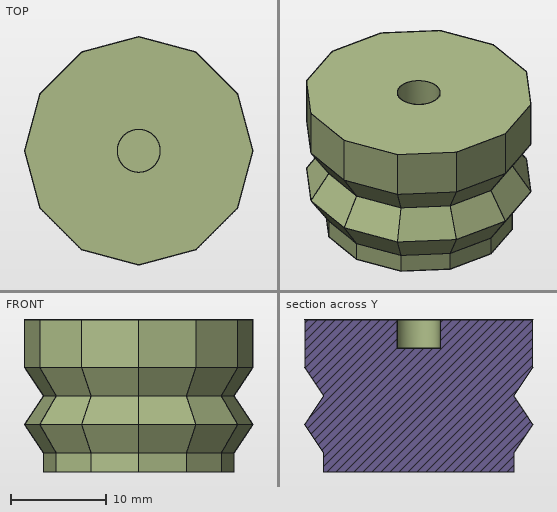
import cadquery as cq

SIDES = 12
OUTER_DIAMETER = 24.0
NECK_DIAMETER = 20.02
HEIGHT = 16.0
BASE_HEIGHT = 2.0
TAPER_HEIGHT = 3.0
HOLE_DIAMETER = 4.5
HOLE_DEPTH = 3.0

RIDGE_Z = BASE_HEIGHT + TAPER_HEIGHT
GROOVE_Z = RIDGE_Z + TAPER_HEIGHT
HEAD_Z = GROOVE_Z + TAPER_HEIGHT


def prism(bottom_z, top_z, diameter):
    """Straight twelve-sided prism with a corner on the +X axis."""
    return (
        cq.Workplane("XY")
        .workplane(offset=bottom_z)
        .polygon(SIDES, diameter)
        .extrude(top_z - bottom_z)
    )


def frustum(bottom_z, bottom_diameter, top_diameter):
    """Twelve-sided frustum, one taper high."""
    return (
        cq.Workplane("XY")
        .workplane(offset=bottom_z)
        .polygon(SIDES, bottom_diameter)
        .workplane(offset=TAPER_HEIGHT)
        .polygon(SIDES, top_diameter)
        .loft(ruled=True)
    )


base = prism(0, BASE_HEIGHT, NECK_DIAMETER)
ridge_lower = frustum(BASE_HEIGHT, NECK_DIAMETER, OUTER_DIAMETER)
ridge_upper = frustum(RIDGE_Z, OUTER_DIAMETER, NECK_DIAMETER)
head_flare = frustum(GROOVE_Z, NECK_DIAMETER, OUTER_DIAMETER)
head = prism(HEAD_Z, HEIGHT, OUTER_DIAMETER)
body = base.union(ridge_lower).union(ridge_upper).union(head_flare).union(head)

hole = (
    cq.Workplane("XY")
    .workplane(offset=HEIGHT - HOLE_DEPTH)
    .circle(HOLE_DIAMETER / 2)
    .extrude(HOLE_DEPTH)
)
result = body.cut(hole)